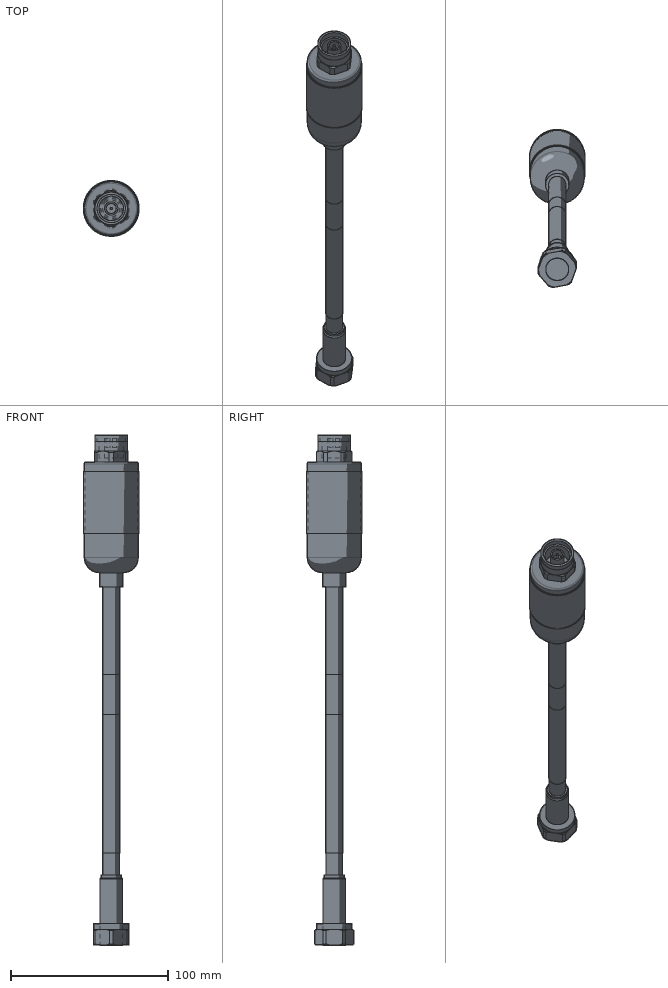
import cadquery as cq
import math


total_height = 324.58
nut_top = 14.1
plug_shoulder = 45.0
cable_bottom = 59.0
gland_bottom = 228.1
housing_bottom = 237.1
housing_top = 307.5

nut_across_flats = 22.6
nut_corner_radius = 12.45
nut_collar_radius = 11.2
nut_collar_height = 3.9
nut_bottom = 0.6
nut_corner_chamfer = 0.6

plug_radius = 7.3
plug_tip_radius = 6.5
plug_tip_height = 1.8
plug_cone_height = 0.8

ferrule_radius = 5.4
cable_radius = 5.5

marker_radius = 5.55
marker_bottom = 146.9
marker_top = 172.5

gland_radius = 7.45

housing_radius = 17.2
housing_top_fillet = 1.15
dome_radius = housing_radius - gland_radius

sleeve_diameter = 35.56
sleeve_radius = sleeve_diameter / 2
sleeve_seat_radius = 16.8
sleeve_bottom = 262.2
sleeve_top = 301.5

hex_across_flats = 21.1
hex_corner_radius = 11.45
hex_top = 314.4
hex_top_chamfer = 0.8
barrel_radius = 10.35
lip_radius = 10.45
lip_height = 4.0
mouth_radius = 9.0
mouth_depth = 4.0
bore_radius = 7.8
bore_floor = 310.0

contact_radius = 4.2
contact_cup_radius = 3.2
contact_top = 322.6
contact_cup_depth = 6.0
contact_pin_radius = 0.7


def cylinder(radius, bottom, top):
    return cq.Workplane("XY").workplane(offset=bottom).circle(radius).extrude(top - bottom)


def tube(outer_radius, inner_radius, bottom, top):
    return cylinder(outer_radius, bottom, top).cut(cylinder(inner_radius, bottom, top))


def hexagon(across_flats, bottom, top):
    """Hexagonal prism with flats facing -X and +X."""
    corner_diameter = across_flats / math.cos(math.pi / 6)
    prism = cq.Workplane("XY").workplane(offset=bottom).polygon(6, corner_diameter).extrude(top - bottom)
    return prism.rotate((0, 0, 0), (0, 0, 1), 30)


def make_nut():
    collar_bottom = nut_top - nut_collar_height
    corner_limit = cylinder(nut_corner_radius, nut_bottom, collar_bottom)
    corner_limit = corner_limit.edges("%CIRCLE").chamfer(nut_corner_chamfer)
    nut = hexagon(nut_across_flats, nut_bottom, collar_bottom).intersect(corner_limit)
    nut = nut.union(cylinder(nut_collar_radius, collar_bottom, nut_top))
    return nut.cut(cylinder(plug_radius, nut_bottom, nut_top))


def make_plug():
    tip_bottom = plug_shoulder - plug_tip_height
    cone_bottom = tip_bottom - plug_cone_height
    return (
        cq.Workplane("XZ")
        .lineTo(plug_radius, 0)
        .lineTo(plug_radius, cone_bottom)
        .lineTo(plug_tip_radius, tip_bottom)
        .lineTo(plug_tip_radius, plug_shoulder)
        .lineTo(0, plug_shoulder)
        .close()
        .revolve(360, (0, 0, 0), (0, 1, 0))
    )


def make_housing():
    dome_top = housing_bottom + dome_radius
    fillet_bottom = housing_top - housing_top_fillet
    housing = (
        cq.Workplane("XZ")
        .moveTo(0, housing_bottom)
        .lineTo(gland_radius, housing_bottom)
        .radiusArc((housing_radius, dome_top), -dome_radius)
        .lineTo(housing_radius, fillet_bottom)
        .radiusArc((housing_radius - housing_top_fillet, housing_top), -housing_top_fillet)
        .lineTo(0, housing_top)
        .close()
        .revolve(360, (0, 0, 0), (0, 1, 0))
    )
    return housing.cut(tube(housing_radius, sleeve_seat_radius, sleeve_bottom, sleeve_top))


def make_socket():
    hex_base = hexagon(hex_across_flats, housing_top, hex_top)
    corner_limit = cylinder(hex_corner_radius, housing_top, hex_top).faces(">Z").chamfer(hex_top_chamfer)
    socket = hex_base.intersect(corner_limit)
    socket = socket.union(cylinder(barrel_radius, hex_top, total_height - lip_height))
    socket = socket.union(cylinder(lip_radius, total_height - lip_height, total_height))
    socket = socket.cut(cylinder(mouth_radius, total_height - mouth_depth, total_height))
    return socket.cut(cylinder(bore_radius, bore_floor, total_height))


def make_contact():
    contact = cylinder(contact_radius, bore_floor, contact_top)
    cup = tube(contact_cup_radius, contact_pin_radius, contact_top - contact_cup_depth, contact_top)
    return contact.cut(cup)


nut = make_nut()
plug = make_plug()
ferrule = cylinder(ferrule_radius, plug_shoulder, cable_bottom)
cable = cylinder(cable_radius, cable_bottom, gland_bottom)
marker = tube(marker_radius, cable_radius, marker_bottom, marker_top)
gland = cylinder(gland_radius, gland_bottom, housing_bottom)
housing = make_housing()
sleeve = tube(sleeve_radius, sleeve_seat_radius, sleeve_bottom, sleeve_top)
socket = make_socket()
contact = make_contact()

bodies = [nut, plug, ferrule, cable, marker, gland, housing, sleeve, socket, contact]
result = cq.Compound.makeCompound([body.val() for body in bodies])